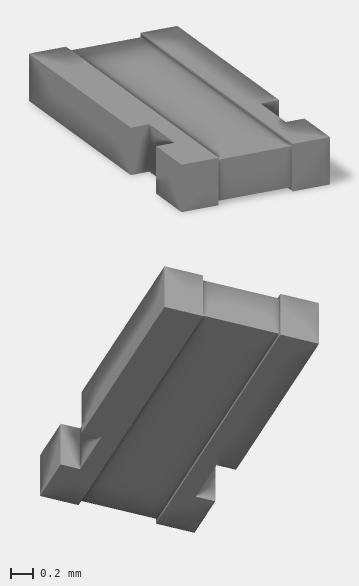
import cadquery as cq

length = 3.05
width = 1.5
height = 0.46

band_width = 0.375
band_thickness = 0.03

notch_start = length / 6
notch_length = length / 6
notch_depth = 0.19

body = cq.Workplane("XY").box(
    length - 2 * band_thickness,
    width - 2 * band_width,
    height - 2 * band_thickness,
)


def notched_band(side):
    """Band along one long edge; side is +1 for +Y and -1 for -Y."""
    band = cq.Workplane("XY").box(length, band_width, height)
    band = band.translate((0, side * (width - band_width) / 2, 0))
    notch = cq.Workplane("XY").box(notch_length, notch_depth, height)
    notch_center_x = notch_start + notch_length / 2
    notch = notch.translate((notch_center_x, side * (width - notch_depth) / 2, 0))
    return band.cut(notch)


result = body.union(notched_band(1)).union(notched_band(-1))